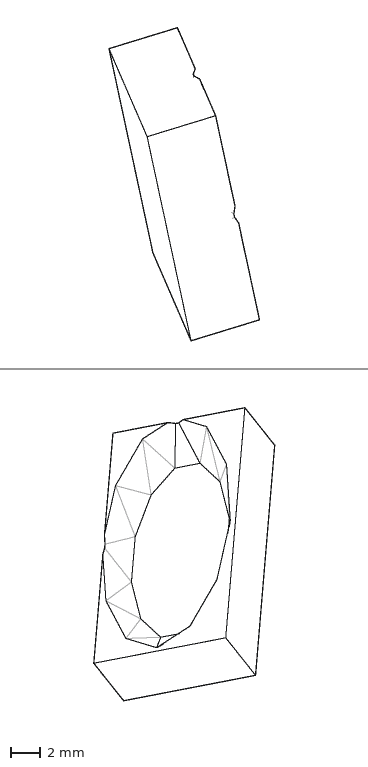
import cadquery as cq
import math

overall_height = 19.51
width = 10.0
thickness = 4.95
lean_angle = 9.5
lean = math.radians(lean_angle)
length = (overall_height - thickness * math.sin(lean)) / math.cos(lean)

pocket_sides = 12
pocket_center_x = 0.25
pocket_center_z = 0.3
rim_half_width = 4.85
rim_half_length = 9.48
floor_ratio = 0.76
pocket_depth = 2.35


def oval_ring(scale, y, angle_offset):
    """Corners of a polygonal oval parallel to the +Y face of the upright block."""
    ring = []
    for i in range(pocket_sides):
        angle = 2 * math.pi * i / pocket_sides + angle_offset
        x = pocket_center_x + scale * rim_half_width * math.cos(angle)
        z = pocket_center_z + scale * rim_half_length * math.sin(angle)
        ring.append(cq.Vector(x, y, z))
    return ring


def planar_face(corners):
    return cq.Face.makeFromWires(cq.Wire.makePolygon(corners, close=True))


def faceted_pocket():
    """Solid whose triangular walls join the rim to a smaller floor turned by half a side."""
    rim_y = thickness / 2
    rim = oval_ring(1, rim_y, 0)
    floor = oval_ring(floor_ratio, rim_y - pocket_depth, math.pi / pocket_sides)
    faces = [planar_face(rim), planar_face(floor)]
    for i in range(pocket_sides):
        following = (i + 1) % pocket_sides
        faces.append(planar_face([rim[i], rim[following], floor[i]]))
        faces.append(planar_face([floor[i], rim[following], floor[following]]))
    return cq.Solid.makeSolid(cq.Shell.makeShell(faces))


upright_block = cq.Workplane("XY").box(width, thickness, length)
pocketed_block = upright_block.cut(cq.Workplane(obj=faceted_pocket()))
result = pocketed_block.rotate((0, 0, 0), (1, 0, 0), lean_angle)